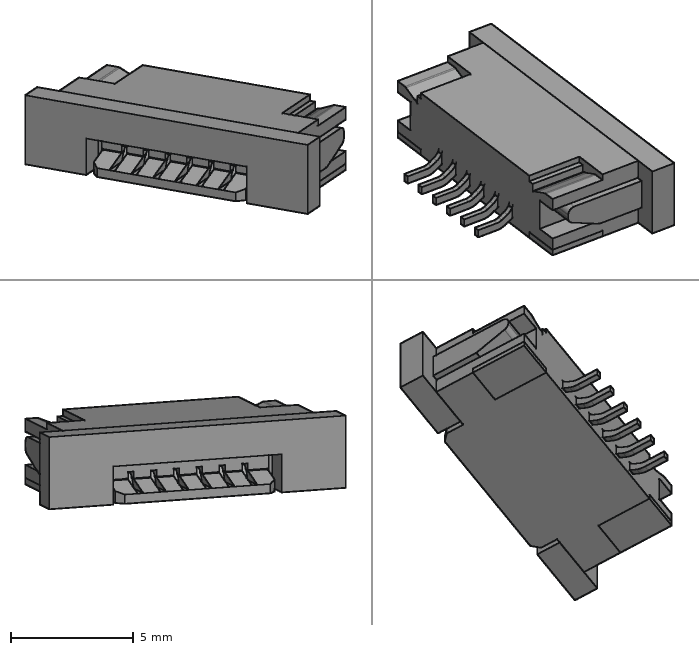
import cadquery as cq
import math


height = 3.02
mid_z = height / 2
tail_end_y = 7.1

bar_length = 13
bar_depth = 1.1
opening_half = 3.69
opening_top = 1.6

cavity_half = 3.54
cavity_floor = 0.78
cable_gap = 0.04
cavity_end_y = 3.9

housing_half = 5.5
housing_rear_y = 5.41

tongue_half = 3.5
tongue_tip_z = 0.39
tongue_chamfer = 0.31

pocket_front_y = 2.9
pocket_inner_x = 3.85
pocket_depth = 0.27
groove_inner_x = 4.1
groove_foot_x = 4.3
groove_crest_x = 4.95
groove_depth = 0.27
groove_round = 0.2
groove_edge_width = 0.15
groove_edge_round = 0.17

slot_height = 1.38
slot_floor_x = 4.59
arm_clearance = 0.04
arm_outer_x = 5.73
arm_end_y = 4.78
arm_taper_start_y = 3.22
arm_tip_z = 1.5
arm_round = 0.3

contact_count = 6
contact_pitch = 1.0
contact_width = 0.25
beam_top = 1.09
nose_y = 1.17
nose_z = 0.47
nose_undercut = 0.08
nose_arc_end_y = 1.5
nose_arc_end_z = 0.98
nose_bulge = 0.05
ramp_start_y = 1.62
ramp_start_z = 1.01
ramp_end_y = 1.7
tail_thickness = 0.35
tail_bend_y = 6.15
tail_bend_radius = 0.47
tail_angle = math.radians(30)
tail_slope_end_y = 5.64

slot_bottom = mid_z - slot_height / 2
slot_top = mid_z + slot_height / 2
contact_xs = [(i - (contact_count - 1) / 2) * contact_pitch for i in range(contact_count)]


def box(x0, x1, y0, y1, z0, z1):
    """Box between two opposite corners."""
    return cq.Workplane("XY").box(x1 - x0, y1 - y0, z1 - z0, centered=False).translate((x0, y0, z0))


def mirrored_pair(shape):
    """A +X side shape together with its -X mirror image."""
    return shape, shape.mirror("YZ")


def arc_point(center, radius, angle):
    """Point on a tail bend; the angle is measured from straight down, towards the front."""
    return center[0] - radius * math.sin(angle), center[1] - radius * math.cos(angle)


def contact_tail():
    foot_center = (tail_bend_y, tail_thickness + tail_bend_radius)
    foot_outer = tail_bend_radius + tail_thickness
    foot_top_end = arc_point(foot_center, tail_bend_radius, tail_angle)
    slope_run = foot_top_end[0] - tail_slope_end_y
    slope_top_z = foot_top_end[1] + slope_run * math.tan(tail_angle)

    riser_radius = (beam_top - slope_top_z) / math.cos(tail_angle)
    riser_outer = riser_radius + tail_thickness
    riser_center = (tail_slope_end_y + riser_radius * math.sin(tail_angle), beam_top)
    upright = math.pi / 2
    riser_mid = (tail_angle + upright) / 2

    return (
        cq.Workplane("YZ")
        .moveTo(tail_end_y, 0)
        .lineTo(tail_end_y, tail_thickness)
        .lineTo(tail_bend_y, tail_thickness)
        .threePointArc(arc_point(foot_center, tail_bend_radius, tail_angle / 2), foot_top_end)
        .lineTo(tail_slope_end_y, slope_top_z)
        .threePointArc(
            arc_point(riser_center, riser_radius, riser_mid),
            arc_point(riser_center, riser_radius, upright),
        )
        .lineTo(*arc_point(riser_center, riser_outer, upright))
        .threePointArc(
            arc_point(riser_center, riser_outer, riser_mid),
            arc_point(riser_center, riser_outer, tail_angle),
        )
        .lineTo(*arc_point(foot_center, foot_outer, tail_angle))
        .threePointArc(arc_point(foot_center, foot_outer, tail_angle / 2), (tail_bend_y, 0))
        .close()
        .extrude(contact_width / 2, both=True)
    )


def contact_beam():
    beam_rear_y = housing_rear_y - tail_thickness
    nose_run = nose_arc_end_y - nose_y
    nose_rise = nose_arc_end_z - nose_z
    nose_chord = math.hypot(nose_run, nose_rise)
    nose_arc_mid = (
        nose_y + nose_run / 2 - nose_bulge * nose_rise / nose_chord,
        nose_z + nose_rise / 2 + nose_bulge * nose_run / nose_chord,
    )
    return (
        cq.Workplane("YZ")
        .moveTo(beam_rear_y, tongue_tip_z)
        .lineTo(nose_y + nose_undercut, tongue_tip_z)
        .lineTo(nose_y, nose_z)
        .threePointArc(nose_arc_mid, (nose_arc_end_y, nose_arc_end_z))
        .lineTo(ramp_start_y, nose_arc_end_z)
        .lineTo(ramp_start_y, ramp_start_z)
        .lineTo(ramp_end_y, beam_top)
        .lineTo(beam_rear_y, beam_top)
        .close()
        .extrude(contact_width / 2, both=True)
    )


def make_contact(x):
    return contact_beam().union(contact_tail()).translate((x, 0, 0))


def make_nail():
    return box(pocket_inner_x, housing_half, pocket_front_y, housing_rear_y, 0, pocket_depth)


def slider_arm():
    arm_bottom = slot_bottom + arm_clearance
    arm_top = slot_top - arm_clearance
    return (
        cq.Workplane("YZ")
        .polyline(
            [
                (bar_depth, arm_bottom),
                (arm_taper_start_y, arm_bottom),
                (arm_end_y, arm_tip_z),
                (arm_end_y, arm_top),
                (bar_depth, arm_top),
            ]
        )
        .close()
        .extrude(arm_outer_x - slot_floor_x)
        .faces(">Y")
        .edges("|X")
        .fillet(arm_round)
        .translate((slot_floor_x, 0, 0))
    )


def make_slider():
    body = box(-bar_length / 2, bar_length / 2, 0, bar_depth, 0, height)
    body = body.cut(box(-opening_half, opening_half, 0, bar_depth, 0, opening_top))
    wedge_bottom = cavity_floor + cable_gap
    wedge = box(-cavity_half, cavity_half, bar_depth, cavity_end_y, wedge_bottom, slot_top)
    for x in contact_xs:
        wedge = wedge.cut(
            box(x - contact_width / 2, x + contact_width / 2, bar_depth, cavity_end_y, wedge_bottom, beam_top)
        )
    body = body.union(wedge)
    for arm in mirrored_pair(slider_arm()):
        body = body.union(arm)
    return body


def cable_tongue():
    plate = box(-tongue_half, tongue_half, 0, bar_depth, 0, cavity_floor)
    plate = plate.faces("<Y").edges("|Z").chamfer(tongue_chamfer)
    above_ramp = (
        cq.Workplane("YZ")
        .polyline([(0, tongue_tip_z), (bar_depth, cavity_floor), (0, cavity_floor)])
        .close()
        .extrude(tongue_half, both=True)
    )
    return plate.cut(above_ramp)


def rolled_edge_point(center, angle):
    """Point on the rolled edge of the groove floor; the angle is measured from straight up, inwards."""
    return center[0] - groove_edge_round * math.sin(angle), center[1] + groove_edge_round * math.cos(angle)


def grooved_pocket():
    """Space above a top corner: a shallow step with a sloped finger groove along Y."""
    step_z = height - pocket_depth
    groove_z = step_z - groove_depth
    middle_y = (pocket_front_y + housing_rear_y) / 2

    edge_x = groove_inner_x + groove_edge_width
    edge_sweep = math.asin(groove_edge_width / groove_edge_round)
    edge_center = (edge_x, groove_z - groove_edge_round)
    edge_start = rolled_edge_point(edge_center, edge_sweep)
    edge_mid = rolled_edge_point(edge_center, edge_sweep / 2)

    cutter = (
        cq.Workplane("XZ", origin=(0, housing_rear_y, 0))
        .moveTo(pocket_inner_x, height)
        .lineTo(pocket_inner_x, step_z)
        .lineTo(groove_inner_x, step_z)
        .lineTo(*edge_start)
        .threePointArc(edge_mid, (edge_x, groove_z))
        .lineTo(groove_foot_x, groove_z)
        .lineTo(groove_crest_x, step_z)
        .lineTo(housing_half, step_z)
        .lineTo(housing_half, height)
        .close()
        .extrude(housing_rear_y - pocket_front_y)
    )
    for x, z in ((groove_foot_x, groove_z), (groove_crest_x, step_z)):
        cutter = cutter.edges(cq.NearestToPointSelector((x, middle_y, z))).fillet(groove_round)
    return cutter


def make_housing(contacts, nails):
    body = box(-housing_half, housing_half, bar_depth, housing_rear_y, 0, height)
    body = body.union(cable_tongue())
    body = body.cut(box(-cavity_half, cavity_half, bar_depth, cavity_end_y, cavity_floor, slot_top))
    side_slot = box(slot_floor_x, housing_half, bar_depth, housing_rear_y, slot_bottom, slot_top)
    for cutter in (*mirrored_pair(side_slot), *mirrored_pair(grooved_pocket())):
        body = body.cut(cutter)
    for x in contact_xs:
        body = body.cut(
            box(x - contact_width / 2, x + contact_width / 2, 0, cavity_end_y, tongue_tip_z, cavity_floor)
        )
    for insert in (*contacts, *nails):
        body = body.cut(insert)
    return body


contacts = [make_contact(x) for x in contact_xs]
nails = mirrored_pair(make_nail())
slider = make_slider()
housing = make_housing(contacts, nails)

bodies = [housing, slider, *contacts, *nails]
result = cq.Compound.makeCompound([body.solids().val() for body in bodies])